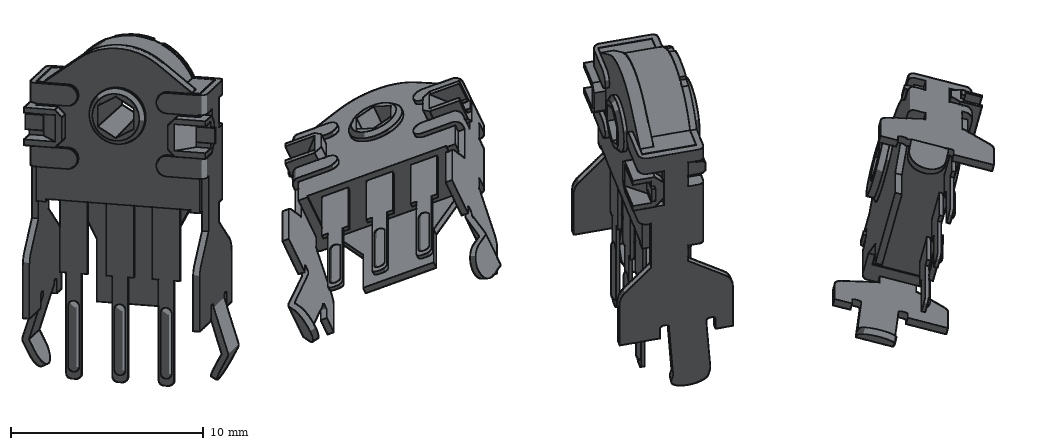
import cadquery as cq
import math

HEIGHT = 18.1

FRONT_DOME_RADIUS = 3.6
DRUM_RADIUS = 3.55
REAR_DOME_RADIUS = 3.51
HUB_Z = HEIGHT - FRONT_DOME_RADIUS

HOUSING_HALF_WIDTH = 4.42
HOUSING_FRONT = -1.74
HOUSING_BACK = 1.15
HOUSING_TOP = 16.0
HOUSING_BOTTOM = 9.54
RECESS_HALF_WIDTH = 3.91
RECESS_DEPTH = 0.15
FRONT_DOME_BACK = -1.01
FRONT_DOME_FOOT = 4.0

FRONT_RING_RADIUS = 1.5
FRONT_RING_END = HOUSING_FRONT - 0.43
FRONT_RING_CHAMFER = 0.24
REAR_RING_RADIUS = 1.81
REAR_CONE_RADIUS = 2.0
REAR_CONE_LENGTH = 0.16
REAR_RING_END = 2.06
HEX_FRONT_FLATS = 1.94
HEX_BACK_FLATS = 1.72
HEX_SIDES = 6

SHEET = 0.36
BRACKET_HALF_WIDTH = HOUSING_HALF_WIDTH + SHEET
BRACKET_BACK = HOUSING_BACK + SHEET
BRACKET_TOP = 15.96
BACK_CORNER_RADIUS = 0.29
TAB_FRONT = HOUSING_FRONT - 0.24
TAB_CORNER_RADIUS = 0.43
TAB_HEIGHT = 1.1
TAB_TIP_X = 2.14
TAB_BOTTOMS = (14.86, 11.45)
WALL_FRONT = -1.34
CLIP_WINDOW_BACK = -0.65
CLIP_WINDOW_BOTTOM = 12.58
CLIP_WINDOW_TOP = 14.9

NOTCH_INNER_X = 1.05
NOTCH_OUTER_X = 1.67
NOTCH_FLOOR_Z = 17.63

TAIL_TOP_HALF_WIDTH = 3.37
TAIL_HALF_WIDTH = 2.0
TAIL_TAPER_END = 6.93

WING_DEPTH = 6.1
WING_BOTTOM = 3.53
WING_CORNER_Z = 6.77
WING_CORNER_RADIUS = 1.0
NECK_BACK = 0.63
NECK_BOTTOM = 8.49
LEG_CENTER_Y = 0.62
LEG_WIDTH = 2.01
SLOT_WIDTH = 0.49
SLOT_TOP = 4.36
SLOT_CORNER_RADIUS = 0.18
LEG_BEND_TOP = 4.15
LEG_KNEE_X = 5.6
LEG_KNEE_Z = 1.63
LEG_KNEE_RADIUS = 0.29
LEG_FOOT_X = 4.75
LEG_FOOT_ROUNDING = 0.99

CLIP_OUTER_X = 4.9
CLIP_INNER_X = 2.86
CLIP_FRONT = -2.37
CLIP_BACK = -0.7
CLIP_BOTTOM = 12.67
CLIP_TOP = 14.72
CLIP_FRONT_CHAMFER = 0.38
CLIP_SIDE_CHAMFER = 0.49
CHANNEL_BOTTOM = 13.0
CHANNEL_TOP = 14.43
CHANNEL_INNER_X = 3.22
CHANNEL_FLOOR_X = 4.13
CHANNEL_FLOOR_Y = -1.38
TONGUE_OUTER_X = 5.12
TONGUE_BOTTOM = 13.27
TONGUE_TOP = 14.1
TONGUE_FRONT = -1.41
TONGUE_BACK = -1.21

LATCH_WINDOW_BOTTOM = 13.58
LATCH_WINDOW_TOP = 15.19
LATCH_INNER_X = 3.82
LATCH_BACK = 1.67
LATCH_BOTTOM = 14.0
LATCH_SHOULDER = 14.8
LATCH_CHAMFER = 0.16
LATCH_NOSE_TOP = 14.65
LATCH_POCKET_DEPTH = 0.36

PIN_PITCH = 2.5
PIN_POSITIONS = (-PIN_PITCH, 0, PIN_PITCH)
PIN_BACK = -1.2
PIN_THICKNESS = 0.2
BLADE_WIDTH = 1.48
BLADE_BOTTOM = 5.7
PIN_WIDTH = 0.83
PIN_TIP_RADIUS = 0.3
PIN_EMBED = 0.55
RIB_RADIUS = 0.36
RIB_BOTTOM = 0.69
RIB_TOP = 3.91


def box(x0, x1, y0, y1, z0, z1):
    """Axis-aligned block between two opposite corners."""
    return cq.Workplane("XY").box(x1 - x0, y1 - y0, z1 - z0, centered=False).translate((x0, y0, z0))


def along_y(y):
    """Sketch plane facing the front at depth y; extrusion runs towards -Y."""
    return cq.Workplane("XZ", origin=(0, y, 0))


def disc(radius, y_front, y_back):
    """Cylinder about the hub axis."""
    return along_y(y_back).center(0, HUB_Z).circle(radius).extrude(y_back - y_front)


def both_sides(body):
    """The body together with its mirror image across the YZ plane."""
    return body.union(body.mirror("YZ"))


def make_front_dome():
    """Round top plate whose flanks run tangent from the arc to the housing."""
    foot_drop = HUB_Z - HOUSING_TOP
    foot_distance = math.hypot(FRONT_DOME_FOOT, foot_drop)
    foot_angle = math.atan2(-foot_drop, FRONT_DOME_FOOT)
    tangent_angle = foot_angle + math.acos(FRONT_DOME_RADIUS / foot_distance)
    tangent_x = FRONT_DOME_RADIUS * math.cos(tangent_angle)
    tangent_z = HUB_Z + FRONT_DOME_RADIUS * math.sin(tangent_angle)
    return (
        along_y(FRONT_DOME_BACK)
        .moveTo(-FRONT_DOME_FOOT, HUB_Z)
        .lineTo(-FRONT_DOME_FOOT, HOUSING_TOP)
        .lineTo(-tangent_x, tangent_z)
        .threePointArc((0, HEIGHT), (tangent_x, tangent_z))
        .lineTo(FRONT_DOME_FOOT, HOUSING_TOP)
        .lineTo(FRONT_DOME_FOOT, HUB_Z)
        .close()
        .extrude(FRONT_DOME_BACK - HOUSING_FRONT)
    )


def make_housing():
    block = box(
        -HOUSING_HALF_WIDTH, HOUSING_HALF_WIDTH, HOUSING_FRONT, HOUSING_BACK, HOUSING_BOTTOM, HOUSING_TOP
    )
    recess = box(
        -RECESS_HALF_WIDTH, RECESS_HALF_WIDTH, HOUSING_FRONT, HOUSING_BACK,
        HOUSING_BOTTOM, HOUSING_BOTTOM + RECESS_DEPTH,
    )
    drum = disc(DRUM_RADIUS, FRONT_DOME_BACK, HOUSING_BACK)
    return block.cut(recess).union(drum).union(make_front_dome())


def make_back_plate():
    """Bracket back with a notched round top and a tapered tail."""
    plate = (
        along_y(BRACKET_BACK)
        .moveTo(-HOUSING_HALF_WIDTH, BRACKET_TOP)
        .lineTo(-HOUSING_HALF_WIDTH, HOUSING_BOTTOM)
        .lineTo(-TAIL_TOP_HALF_WIDTH, HOUSING_BOTTOM)
        .lineTo(-TAIL_HALF_WIDTH, TAIL_TAPER_END)
        .lineTo(-TAIL_HALF_WIDTH, WING_BOTTOM)
        .lineTo(TAIL_HALF_WIDTH, WING_BOTTOM)
        .lineTo(TAIL_HALF_WIDTH, TAIL_TAPER_END)
        .lineTo(TAIL_TOP_HALF_WIDTH, HOUSING_BOTTOM)
        .lineTo(HOUSING_HALF_WIDTH, HOUSING_BOTTOM)
        .lineTo(HOUSING_HALF_WIDTH, BRACKET_TOP)
        .close()
        .extrude(SHEET)
        .union(disc(REAR_DOME_RADIUS, HOUSING_BACK, BRACKET_BACK))
    )
    notch = box(NOTCH_INNER_X, NOTCH_OUTER_X, HOUSING_BACK, BRACKET_BACK, NOTCH_FLOOR_Z, HEIGHT)
    return plate.cut(both_sides(notch))


def make_side_plate():
    """Left side plate: housing wall, narrow neck and wide slotted wing."""
    wing_half = WING_DEPTH / 2
    outline = [
        (BRACKET_BACK, BRACKET_TOP),
        (BRACKET_BACK, HOUSING_BOTTOM),
        (NECK_BACK, HOUSING_BOTTOM),
        (NECK_BACK, NECK_BOTTOM),
        (wing_half, WING_CORNER_Z),
        (wing_half, WING_BOTTOM),
        (-wing_half, WING_BOTTOM),
        (-wing_half, WING_CORNER_Z),
        (WALL_FRONT, NECK_BOTTOM),
        (WALL_FRONT, BRACKET_TOP),
    ]
    plate = cq.Workplane("YZ", origin=(-BRACKET_HALF_WIDTH, 0, 0)).polyline(outline).close().extrude(SHEET)
    for y in (-wing_half, wing_half):
        corner = cq.selectors.NearestToPointSelector((-BRACKET_HALF_WIDTH + SHEET / 2, y, WING_CORNER_Z))
        plate = plate.edges(corner).fillet(WING_CORNER_RADIUS)
    wall_middle_z = (BRACKET_TOP + HOUSING_BOTTOM) / 2
    back_corner = cq.selectors.NearestToPointSelector((-BRACKET_HALF_WIDTH, BRACKET_BACK, wall_middle_z))
    plate = plate.edges(back_corner).fillet(BACK_CORNER_RADIUS)

    for direction in (-1, 1):
        slot_y = LEG_CENTER_Y + direction * (LEG_WIDTH + SLOT_WIDTH) / 2
        slot = (
            box(
                -BRACKET_HALF_WIDTH, -HOUSING_HALF_WIDTH, slot_y - SLOT_WIDTH / 2, slot_y + SLOT_WIDTH / 2,
                WING_BOTTOM, SLOT_TOP,
            )
            .faces(">Z").edges("|X").fillet(SLOT_CORNER_RADIUS)
        )
        plate = plate.cut(slot)

    leg_gap = box(
        -BRACKET_HALF_WIDTH, -HOUSING_HALF_WIDTH, LEG_CENTER_Y - LEG_WIDTH / 2, LEG_CENTER_Y + LEG_WIDTH / 2,
        WING_BOTTOM, LEG_BEND_TOP,
    )
    return plate.cut(leg_gap)


def make_leg():
    """Left snap leg: slopes outwards to a knee, then back inwards to a rounded foot."""
    upper_angle = math.atan2(LEG_KNEE_X - BRACKET_HALF_WIDTH, LEG_BEND_TOP - LEG_KNEE_Z)
    lower_angle = math.atan2(LEG_KNEE_X - LEG_FOOT_X, LEG_KNEE_Z)
    knee_angle = (upper_angle - lower_angle) / 2
    knee_offset = SHEET / math.cos((upper_angle + lower_angle) / 2)
    inner_knee_x = LEG_KNEE_X - knee_offset * math.cos(knee_angle)
    inner_knee_z = LEG_KNEE_Z - knee_offset * math.sin(knee_angle)
    outline = [
        (-BRACKET_HALF_WIDTH, LEG_BEND_TOP),
        (-LEG_KNEE_X, LEG_KNEE_Z),
        (-LEG_FOOT_X, 0),
        (-LEG_FOOT_X + SHEET * math.cos(lower_angle), SHEET * math.sin(lower_angle)),
        (-inner_knee_x, inner_knee_z),
        (-HOUSING_HALF_WIDTH, LEG_BEND_TOP),
    ]
    leg_back = LEG_CENTER_Y + LEG_WIDTH / 2
    leg = along_y(leg_back).polyline(outline).close().extrude(LEG_WIDTH)
    leg = leg.edges("|Y and <X").fillet(LEG_KNEE_RADIUS)
    foot_corners = cq.selectors.BoxSelector(
        (-LEG_FOOT_X - SHEET, LEG_CENTER_Y - LEG_WIDTH, -SHEET),
        (-LEG_FOOT_X + 2 * SHEET, LEG_CENTER_Y + LEG_WIDTH, SHEET),
    )
    foot_radius = LEG_FOOT_ROUNDING * LEG_WIDTH / 2
    return leg.edges(foot_corners).edges("not |Y").fillet(foot_radius)


def make_front_tabs():
    """Left pair of strips that wrap round the front corner and end in a round tip."""
    tabs = cq.Workplane()
    tip_radius = TAB_HEIGHT / 2
    for bottom in TAB_BOTTOMS:
        top = bottom + TAB_HEIGHT
        strip = box(-BRACKET_HALF_WIDTH, -TAB_TIP_X - tip_radius, TAB_FRONT, HOUSING_FRONT, bottom, top)
        side = box(-BRACKET_HALF_WIDTH, -HOUSING_HALF_WIDTH, TAB_FRONT, WALL_FRONT, bottom, top)
        wrap = strip.union(side).edges("|Z and <X and <Y").fillet(TAB_CORNER_RADIUS)
        tip = (
            along_y(HOUSING_FRONT)
            .center(-TAB_TIP_X - tip_radius, bottom + tip_radius)
            .circle(tip_radius)
            .extrude(HOUSING_FRONT - TAB_FRONT)
        )
        tabs = tabs.add(wrap.union(tip))
    return tabs.combine()


def make_clip():
    """Left corner clip, chamfered on its front and side ends."""
    front = (
        box(-CLIP_OUTER_X, -CLIP_INNER_X, CLIP_FRONT, HOUSING_FRONT, CLIP_BOTTOM, CLIP_TOP)
        .edges("|Y and >X").chamfer(CLIP_FRONT_CHAMFER)
    )
    side = (
        box(-CLIP_OUTER_X, -HOUSING_HALF_WIDTH, CLIP_FRONT, CLIP_BACK, CLIP_BOTTOM, CLIP_TOP)
        .edges("|X and >Y").chamfer(CLIP_SIDE_CHAMFER)
    )
    return front.union(side)


def make_clip_channel():
    """Opening of the left clip, with a slanted inner wall."""
    return (
        cq.Workplane("XY", origin=(0, 0, CHANNEL_BOTTOM))
        .polyline([
            (-CLIP_OUTER_X, CLIP_FRONT),
            (-CHANNEL_INNER_X, CLIP_FRONT),
            (-CHANNEL_FLOOR_X, CHANNEL_FLOOR_Y),
            (-CLIP_OUTER_X, CHANNEL_FLOOR_Y),
        ])
        .close()
        .extrude(CHANNEL_TOP - CHANNEL_BOTTOM)
    )


def make_tongue():
    return box(
        -TONGUE_OUTER_X, -CHANNEL_FLOOR_X, TONGUE_FRONT, TONGUE_BACK, TONGUE_BOTTOM, TONGUE_TOP
    )


def make_latch():
    """Left rear latch hooked over the back plate."""
    return (
        cq.Workplane("YZ", origin=(-HOUSING_HALF_WIDTH, 0, 0))
        .polyline([
            (NECK_BACK, LATCH_BOTTOM),
            (BRACKET_BACK, LATCH_BOTTOM),
            (LATCH_BACK, LATCH_BOTTOM + LATCH_CHAMFER),
            (LATCH_BACK, LATCH_NOSE_TOP),
            (BRACKET_BACK, LATCH_SHOULDER),
            (NECK_BACK, LATCH_SHOULDER),
        ])
        .close()
        .extrude(HOUSING_HALF_WIDTH - LATCH_INNER_X)
    )


def make_latch_pocket():
    """Left recess in the housing and back plate that frees the latch from below."""
    return box(
        -HOUSING_HALF_WIDTH, -HOUSING_HALF_WIDTH + LATCH_POCKET_DEPTH, NECK_BACK, BRACKET_BACK,
        LATCH_WINDOW_BOTTOM, LATCH_BOTTOM,
    )


def make_bracket_windows():
    """Left openings in the bracket for the corner clip and the rear latch."""
    clip_window = box(
        -BRACKET_HALF_WIDTH, -HOUSING_HALF_WIDTH, TAB_FRONT, CLIP_WINDOW_BACK,
        CLIP_WINDOW_BOTTOM, CLIP_WINDOW_TOP,
    )
    latch_side = box(
        -BRACKET_HALF_WIDTH, -HOUSING_HALF_WIDTH, NECK_BACK, BRACKET_BACK,
        LATCH_WINDOW_BOTTOM, LATCH_WINDOW_TOP,
    )
    latch_back = box(
        -HOUSING_HALF_WIDTH, -LATCH_INNER_X, HOUSING_BACK, BRACKET_BACK,
        LATCH_BOTTOM, LATCH_WINDOW_TOP,
    )
    return clip_window.union(latch_side).union(latch_back)


def make_terminal(x):
    """Flat stepped terminal with a round-ended stiffening rib on its front."""
    blade_top = HOUSING_BOTTOM + RECESS_DEPTH + PIN_EMBED
    front = PIN_BACK - PIN_THICKNESS
    blade = box(-BLADE_WIDTH / 2, BLADE_WIDTH / 2, front, PIN_BACK, BLADE_BOTTOM, blade_top)
    pin = (
        box(-PIN_WIDTH / 2, PIN_WIDTH / 2, front, PIN_BACK, 0, BLADE_BOTTOM)
        .faces("<Z").edges("|Y").fillet(PIN_TIP_RADIUS)
    )
    rib_length = RIB_TOP - RIB_BOTTOM
    rib = cq.Workplane("XY", origin=(0, PIN_BACK, RIB_BOTTOM)).circle(RIB_RADIUS).extrude(rib_length)
    for z in (RIB_BOTTOM, RIB_TOP):
        rib = rib.union(cq.Workplane("XY", origin=(0, PIN_BACK, z)).sphere(RIB_RADIUS))
    behind_pin = box(-RIB_RADIUS, RIB_RADIUS, PIN_BACK, PIN_BACK + RIB_RADIUS, 0, BLADE_BOTTOM)
    return blade.union(pin).union(rib.cut(behind_pin)).translate((x, 0, 0))


def make_hub():
    front_ring = (
        disc(FRONT_RING_RADIUS, FRONT_RING_END, HOUSING_FRONT)
        .faces("<Y").edges().chamfer(FRONT_RING_CHAMFER)
    )
    cone_end = BRACKET_BACK + REAR_CONE_LENGTH
    cone = (
        along_y(BRACKET_BACK).center(0, HUB_Z).circle(REAR_CONE_RADIUS)
        .workplane(offset=-REAR_CONE_LENGTH).circle(REAR_RING_RADIUS)
        .loft()
    )
    rear_ring = disc(REAR_RING_RADIUS, cone_end, REAR_RING_END)
    return front_ring.union(cone).union(rear_ring)


def make_hex_bore():
    """Hexagonal bore with corners up and down, narrowing towards the back."""
    half_side_angle = 180 / HEX_SIDES
    corner_ratio = 1 / math.cos(math.pi / HEX_SIDES)
    return (
        along_y(REAR_RING_END).center(0, HUB_Z)
        .transformed(rotate=(0, 0, half_side_angle)).polygon(HEX_SIDES, HEX_BACK_FLATS * corner_ratio)
        .workplane(offset=REAR_RING_END - FRONT_RING_END).polygon(HEX_SIDES, HEX_FRONT_FLATS * corner_ratio)
        .loft()
    )


bracket_side = make_side_plate().union(make_front_tabs()).cut(make_bracket_windows()).union(make_leg())
bracket = make_back_plate().cut(both_sides(make_bracket_windows())).union(both_sides(bracket_side))

result = make_housing().union(bracket).union(make_hub())
result = result.cut(both_sides(make_latch_pocket()))
result = result.union(both_sides(make_latch()))
result = result.union(both_sides(make_clip()))
result = result.cut(both_sides(make_clip_channel()))
result = result.union(both_sides(make_tongue()))
for pin_x in PIN_POSITIONS:
    result = result.union(make_terminal(pin_x))
result = result.cut(make_hex_bore())